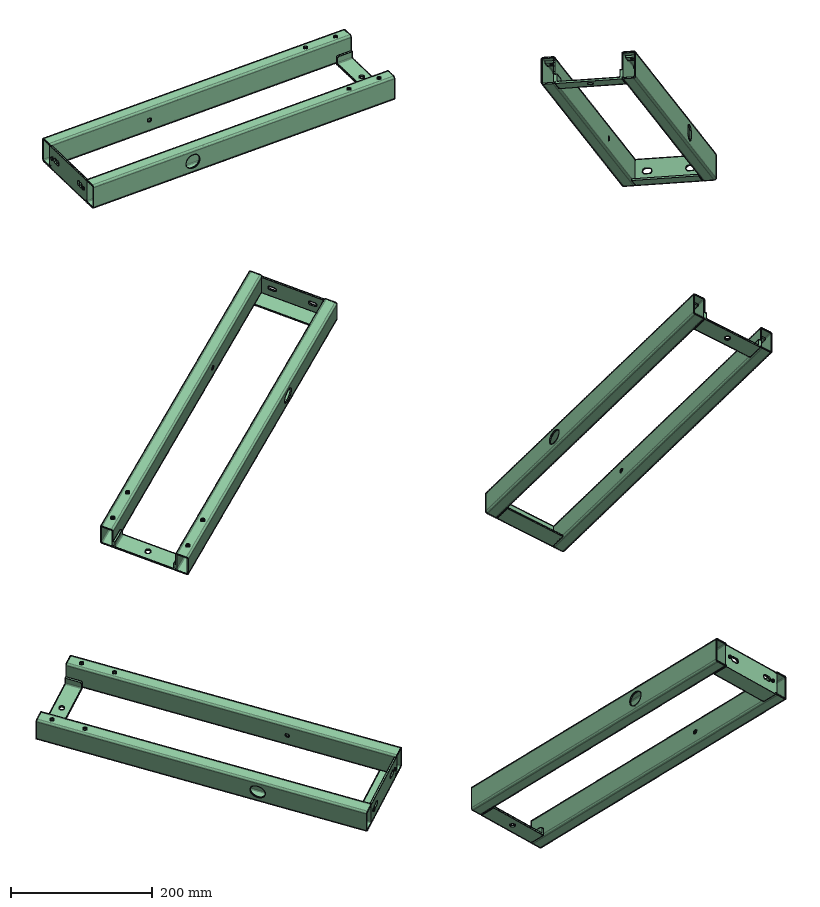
import cadquery as cq

frame_width = 137.0
rail_length = 500.0
rail_width = 20.0
rail_height = 40.0
sheet = 2.0
rail_radius = 3.0

rail_center_x = (frame_width - rail_width) / 2
inner_half_gap = frame_width / 2 - rail_width
rail_front_y = 0.0
rail_back_y = rail_front_y + rail_length

screw_hole_diameter = 6.0
screw_hole_setbacks = (20.0, 70.0)
nut_width = 15.0
nut_bore_diameter = 4.5
nut_height = 3.0
access_hole_diameter = 23.0
fastener_hole_diameter = 6.5
side_hole_y = 165.0
side_hole_z = rail_height / 2

front_sheet = 2.5
front_plate_height = 38.0
front_flange_depth = 25.0
slot_length = 13.5
slot_height = 8.0
slot_center_x = 31.5
slot_z = rail_height / 2
peg_diameter = 5.0
peg_center_x = 42.0
peg_height = 1.5

rear_depth = 25.0
rear_sheet = 3.0
rear_flap_height = 14.0
rear_flap_corner_radius = 3.0
rear_bend_radius = 1.0
rear_hole_diameter = 8.0
rear_hole_setback = rear_depth / 2


def box(x_range, y_range, z_range):
    """Box spanning the given ranges."""
    size = [high - low for low, high in (x_range, y_range, z_range)]
    corner = (x_range[0], y_range[0], z_range[0])
    return cq.Workplane("XY").box(*size, centered=False).translate(corner)


def cylinder_x(diameter, x_start, x_end):
    """Cylinder along X on the axis of the rail side holes."""
    start = cq.Workplane("YZ", origin=(x_start, side_hole_y, side_hole_z))
    return start.circle(diameter / 2).extrude(x_end - x_start)


def make_right_rail():
    """Rectangular tube with square nuts under the top screw holes and a stepped pair of side holes."""
    bore_width = rail_width - 2 * sheet
    bore_height = rail_height - 2 * sheet
    center = (rail_center_x, rail_length / 2 + rail_front_y, rail_height / 2)
    tube = cq.Workplane("XY").box(rail_width, rail_length, rail_height).edges("|Y").fillet(rail_radius)
    bore = cq.Workplane("XY").box(bore_width, rail_length, bore_height).edges("|Y").fillet(rail_radius - sheet)
    rail = tube.cut(bore).translate(center)

    screw_points = [(rail_center_x, rail_back_y - setback) for setback in screw_hole_setbacks]
    screw_holes = (
        cq.Workplane("XY", origin=(0, 0, rail_height - sheet))
        .pushPoints(screw_points)
        .circle(screw_hole_diameter / 2)
        .extrude(sheet)
    )
    nut_bottom_z = rail_height - sheet - nut_height
    nuts = (
        cq.Workplane("XY", origin=(0, 0, nut_bottom_z))
        .pushPoints(screw_points)
        .rect(nut_width, nut_width)
        .extrude(nut_height)
    )
    nut_bores = (
        cq.Workplane("XY", origin=(0, 0, nut_bottom_z))
        .pushPoints(screw_points)
        .circle(nut_bore_diameter / 2)
        .extrude(nut_height)
    )
    fastener_hole = cylinder_x(fastener_hole_diameter, 0, rail_center_x)
    access_hole = cylinder_x(access_hole_diameter, rail_center_x, frame_width)
    return rail.union(nuts).cut(screw_holes).cut(nut_bores).cut(fastener_hole).cut(access_hole)


def make_front_bracket():
    """Angle between the rails: a slotted plate flush with the rail ends and a flange along the floor."""
    x_range = (-inner_half_gap, inner_half_gap)
    front_y = rail_front_y
    bracket = box(x_range, (front_y, front_y + front_flange_depth), (0, front_plate_height))
    clearance = box(
        x_range, (front_y + front_sheet, front_y + front_flange_depth), (front_sheet, front_plate_height)
    )
    slots = (
        cq.Workplane("XZ", origin=(0, front_y + front_sheet, slot_z))
        .pushPoints([(-slot_center_x, 0), (slot_center_x, 0)])
        .slot2D(slot_length, slot_height)
        .extrude(front_sheet)
    )
    pegs = (
        cq.Workplane("XZ", origin=(0, front_y, slot_z))
        .pushPoints([(-peg_center_x, 0), (peg_center_x, 0)])
        .circle(peg_diameter / 2)
        .extrude(peg_height)
    )
    return bracket.cut(clearance).cut(slots).union(pegs)


def make_rear_bracket():
    """Channel with a drilled floor and two upturned flaps against the rails."""
    front_y = rail_back_y - rear_depth
    channel = box((-inner_half_gap, inner_half_gap), (front_y, rail_back_y), (0, rear_flap_height))
    channel = channel.edges("|X and >Z and <Y").fillet(rear_flap_corner_radius)
    half_opening = inner_half_gap - rear_sheet
    opening = box((-half_opening, half_opening), (front_y, rail_back_y), (rear_sheet, rear_flap_height))
    opening = opening.edges("|Y and <Z").fillet(rear_bend_radius)
    hole = (
        cq.Workplane("XY", origin=(0, rail_back_y - rear_hole_setback, 0))
        .circle(rear_hole_diameter / 2)
        .extrude(rear_sheet)
    )
    return channel.cut(opening).cut(hole)


right_rail = make_right_rail()
left_rail = right_rail.mirror("YZ")
result = right_rail.union(left_rail).union(make_front_bracket()).union(make_rear_bracket())